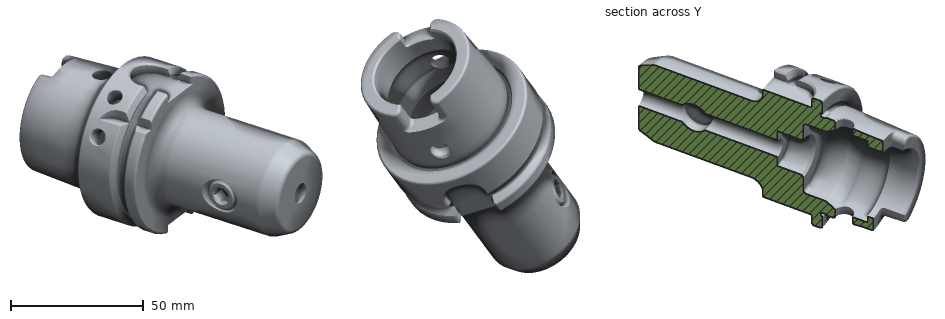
import cadquery as cq
import math

TOTAL_LENGTH = 112.0
TOLERANCE = 0.01

GAUGE_DIAMETER = 48.0
GAUGE_TO_FLANGE = 6.3
TAPER_SLOPE = 0.05
TAPER_END = 29.7
COLLAR_END = 30.5
TAPER_ROUNDING = 1.0
RELIEF_DIAMETER = 47.5
RELIEF_STEP = 0.3
FACE_GROOVE_DIAMETER = 51.1
FACE_GROOVE_DEPTH = 0.7

FLANGE_DIAMETER = 63.0
FLANGE_START = 32.0
FLANGE_END = 58.0
FLANGE_ROUNDING = 1.0
GROOVE_FLOOR_DIAMETER = 54.9
GROOVE_SHOULDER_DIAMETER = 57.6
GROOVE_START = 48.2
GROOVE_END = 51.7
GROOVE_FLANK_ANGLE = 30.0
GROOVE_CORNER = 0.6
GROOVE_RIM_CHAMFER = 0.3

SHANK_DIAMETER = 38.1
SHANK_FILLET = 5.0
NOSE_START = 105.1
NOSE_ANGLE = 25.0
NOSE_ROUNDING = 2.0

BORE_DIAMETER = 34.0
BORE_DEPTH = 40.3
BORE_MOUTH_CHAMFER = 0.7
BORE_FLOOR_ROUNDING = 1.2
CLAMP_GROOVE_DIAMETER = 40.0
CLAMP_GROOVE_START = 12.7
CLAMP_GROOVE_END = 30.8
CLAMP_FLANK_ANGLE = 30.0
POCKET_DIAMETER = 16.9
POCKET_DEPTH = 11.2
POCKET_CHAMFER = 1.0
COOLANT_DIAMETER = 8.0

NOTCH_WIDTH = 12.3
TOP_NOTCH_DEPTH = 5.8
BOTTOM_NOTCH_DEPTH = 10.0
NOTCH_FLARE = 2.6
NOTCH_FLOOR_ROUNDING = 1.3

CROSS_HOLE_DIAMETER = 7.5
CROSS_HOLE_CHAMFER_DIAMETER = 8.5
CROSS_HOLE_X = 22.7

SLOT_WIDTH = 15.9
SLOT_FLOOR = 26.5
SLOT_CENTER_X = 44.8
SLOT_CHAMFER = 0.8
RIM_EDGE_SAMPLES = (0.0, 0.3, 0.7, 1.0)

CORNER_NOTCH_OFFSET = 20.2
CORNER_NOTCH_X = 43.9
CORNER_NOTCH_RADIUS = SLOT_WIDTH / 2

RIM_HOLE_DIAMETER = 6.0
RIM_HOLE_CHAMFER_DIAMETER = 7.0
RIM_HOLE_DEPTH = 7.0
RIM_HOLE_X = 38.9
RIM_HOLE_ANGLES = (28.0, 58.4)

SCREW_X = 88.0
SCREW_DIAMETER = 12.7
SCREW_TIP_Y = 4.5
SCREW_HEAD_Y = 18.3
SCREW_FACE_DIAMETER = 10.4
SEAT_DIAMETER = 15.9
HEX_SIZE = 6.0
HEX_MOUTH_DIAMETER = 7.5
HEX_DEPTH = 5.6
HEX_TURN = 45.0
HEX_FLOOR_CONE_HEIGHT = 1.8


def revolved(points):
    """Solid turned about the X axis from (x, radius) points."""
    return cq.Workplane("XY").polyline(points).close().revolve(360, (0, 0, 0), (1, 0, 0))


def cylinder_x(x_start, x_end, diameter):
    return cq.Workplane("YZ", origin=(x_start, 0, 0)).circle(diameter / 2).extrude(x_end - x_start)


def ring_edges(body, x, radius):
    """Circular edges about the X axis at the given place."""
    def matches(edge):
        if edge.geomType() != "CIRCLE":
            return False
        center = edge.arcCenter()
        on_axis = math.hypot(center.y, center.z) < TOLERANCE
        return on_axis and abs(center.x - x) < TOLERANCE and abs(edge.radius() - radius) < TOLERANCE
    return body.newObject([edge for edge in body.edges().vals() if matches(edge)])


def taper_radius(x):
    return GAUGE_DIAMETER / 2 + TAPER_SLOPE * (x - FLANGE_START + GAUGE_TO_FLANGE)


def drive_notched(body, side, depth):
    """Cut one drive notch, flare its walls to the taper and round its floor corners."""
    half = NOTCH_WIDTH / 2
    reach = GAUGE_DIAMETER
    cutter = cq.Workplane("XY").box(2 * depth, NOTCH_WIDTH, reach).translate((0, 0, side * reach / 2))
    body = body.cut(cutter)

    def flared(edge):
        box = edge.BoundingBox()
        on_wall = abs(abs(box.ymin) - half) < TOLERANCE and box.ylen < TOLERANCE
        return on_wall and box.xlen > depth - TOLERANCE and side * edge.Center().z > half
    body = body.newObject([e for e in body.edges().vals() if flared(e)]).fillet(NOTCH_FLARE)

    def floor_corner(edge):
        box = edge.BoundingBox()
        upright = box.xlen < TOLERANCE and box.ylen < TOLERANCE and abs(box.xmin - depth) < TOLERANCE
        return upright and abs(abs(box.ymin) - half) < TOLERANCE
    return body.newObject([e for e in body.edges().vals() if floor_corner(e)]).fillet(NOTCH_FLOOR_ROUNDING)


def taper():
    body = revolved([
        (0, 0),
        (0, taper_radius(0)),
        (TAPER_END, taper_radius(TAPER_END)),
        (COLLAR_END, taper_radius(TAPER_END)),
        (COLLAR_END + RELIEF_STEP, RELIEF_DIAMETER / 2),
        (FLANGE_START + FACE_GROOVE_DEPTH, RELIEF_DIAMETER / 2),
        (FLANGE_START + FACE_GROOVE_DEPTH, 0),
    ])
    body = drive_notched(body, 1, TOP_NOTCH_DEPTH)
    body = drive_notched(body, -1, BOTTOM_NOTCH_DEPTH)
    return body.faces("<X").edges().fillet(TAPER_ROUNDING)


def face_groove():
    """Shallow recess with a sloped wall in the flange face around the taper."""
    mouth = FACE_GROOVE_DIAMETER / 2
    floor_x = FLANGE_START + FACE_GROOVE_DEPTH
    return revolved([
        (FLANGE_START, 0),
        (FLANGE_START, mouth),
        (floor_x, mouth - FACE_GROOVE_DEPTH),
        (floor_x, 0),
    ])


def flange_and_tool_shank():
    """Flange blank and tool shank, with their rounded edges."""
    rim = FLANGE_DIAMETER / 2
    shank = SHANK_DIAMETER / 2
    nose_radius = shank - (TOTAL_LENGTH - NOSE_START) * math.tan(math.radians(NOSE_ANGLE))
    body = revolved([
        (FLANGE_START, 0),
        (FLANGE_START, rim),
        (FLANGE_END, rim),
        (FLANGE_END, shank),
        (NOSE_START, shank),
        (TOTAL_LENGTH, nose_radius),
        (TOTAL_LENGTH, 0),
    ])
    for x in (FLANGE_START, FLANGE_END):
        body = ring_edges(body, x, rim).fillet(FLANGE_ROUNDING)
    body = ring_edges(body, FLANGE_END, shank).fillet(SHANK_FILLET)
    body = ring_edges(body, NOSE_START, shank).fillet(NOSE_ROUNDING)
    return ring_edges(body, TOTAL_LENGTH, nose_radius).fillet(NOSE_ROUNDING)


def drive_slotted(body, side):
    """Cut one round-ended drive slot and chamfer its edge on the rim."""
    half = SLOT_WIDTH / 2
    outline = cq.Workplane("XY", origin=(SLOT_CENTER_X, 0, side * SLOT_FLOOR))
    outline = outline.moveTo(TOTAL_LENGTH, half).lineTo(0, half).threePointArc((-half, 0), (0, -half))
    cutter = outline.lineTo(TOTAL_LENGTH, -half).close().extrude(side * FLANGE_DIAMETER)
    body = body.cut(cutter)

    def on_rim(edge):
        points = edge.positions(RIM_EDGE_SAMPLES)
        outside = all(abs(math.hypot(p.y, p.z) - FLANGE_DIAMETER / 2) < TOLERANCE for p in points)
        inside_slot = all(abs(p.y) < half + TOLERANCE and side * p.z > 0 for p in points)
        return outside and inside_slot
    rim_edges = [edge for edge in body.edges().vals() if on_rim(edge)]
    return body.newObject(rim_edges).chamfer(SLOT_CHAMFER)


def gripper_groove():
    """Ring that cuts the V-flanked groove round the flange."""
    floor = GROOVE_FLOOR_DIAMETER / 2
    shoulder = GROOVE_SHOULDER_DIAMETER / 2
    rim = FLANGE_DIAMETER / 2
    slope = math.tan(math.radians(GROOVE_FLANK_ANGLE))
    flank_radius = rim - GROOVE_RIM_CHAMFER
    flank = (flank_radius - shoulder) * slope
    mouth = (rim - shoulder) * slope + GROOVE_RIM_CHAMFER
    return revolved([
        (GROOVE_START + GROOVE_CORNER, floor),
        (GROOVE_END, floor),
        (GROOVE_END, shoulder),
        (GROOVE_END + flank, flank_radius),
        (GROOVE_END + mouth, rim),
        (GROOVE_START - mouth, rim),
        (GROOVE_START - flank, flank_radius),
        (GROOVE_START, shoulder),
        (GROOVE_START, floor + GROOVE_CORNER),
    ])


def orientation_notch():
    """Right-angled corner cut, open at the flange end and closed by a round wall."""
    height = FLANGE_DIAMETER
    past_flange = 1.1
    base = cq.Workplane("XY", origin=(CORNER_NOTCH_X, -CORNER_NOTCH_OFFSET, CORNER_NOTCH_OFFSET))
    length = FLANGE_END - CORNER_NOTCH_X + past_flange
    run = base.rect(length, -height, centered=False).extrude(height)
    end = base.center(0, -CORNER_NOTCH_RADIUS).circle(CORNER_NOTCH_RADIUS).extrude(height)
    return run.union(end)


def chamfered_hole(plane, depth, diameter, chamfer_diameter, mouth):
    """Drill inward from height `mouth` above the plane, with a 45 degree chamfer at that height."""
    drill = cq.Workplane(plane).workplane(offset=mouth).circle(diameter / 2).extrude(-depth)
    chamfer = (chamfer_diameter - diameter) / 2
    overshoot = chamfer
    cone = cq.Workplane(plane).workplane(offset=mouth - chamfer).circle(diameter / 2)
    cone = cone.workplane(offset=chamfer + overshoot).circle(chamfer_diameter / 2 + overshoot)
    return drill.union(cone.loft(ruled=True))


def rim_hole(angle):
    direction = (0, -math.cos(math.radians(angle)), math.sin(math.radians(angle)))
    plane = cq.Plane(origin=(RIM_HOLE_X, 0, 0), xDir=(1, 0, 0), normal=direction)
    return chamfered_hole(
        plane, RIM_HOLE_DEPTH, RIM_HOLE_DIAMETER, RIM_HOLE_CHAMFER_DIAMETER, FLANGE_DIAMETER / 2)


def cross_hole(side):
    plane = cq.Plane(origin=(CROSS_HOLE_X, 0, 0), xDir=(1, 0, 0), normal=(0, 0, side))
    mouth = taper_radius(CROSS_HOLE_X)
    return chamfered_hole(plane, mouth, CROSS_HOLE_DIAMETER, CROSS_HOLE_CHAMFER_DIAMETER, mouth)


def bore_mouth():
    """Cone that chamfers the open end of the bore."""
    bore = BORE_DIAMETER / 2
    return revolved([
        (0, 0),
        (0, bore + BORE_MOUTH_CHAMFER),
        (BORE_MOUTH_CHAMFER, bore),
        (BORE_MOUTH_CHAMFER, 0),
    ])


def clamp_groove():
    """Undercut in the bore with a square front wall and a sloped rear wall."""
    bore = BORE_DIAMETER / 2
    groove = CLAMP_GROOVE_DIAMETER / 2
    flank = (groove - bore) / math.tan(math.radians(CLAMP_FLANK_ANGLE))
    return revolved([
        (CLAMP_GROOVE_START, 0),
        (CLAMP_GROOVE_START, groove),
        (CLAMP_GROOVE_END - flank, groove),
        (CLAMP_GROOVE_END, bore),
        (CLAMP_GROOVE_END, 0),
    ])


def screw_hole():
    """Hole right through the tool shank, countersunk on the -Y side."""
    plane = cq.Plane(origin=(SCREW_X, 0, 0), xDir=(1, 0, 0), normal=(0, -1, 0))
    return chamfered_hole(
        plane, SHANK_DIAMETER, SCREW_DIAMETER, SEAT_DIAMETER, SHANK_DIAMETER / 2)


def holder():
    body = flange_and_tool_shank()
    for side in (1, -1):
        body = drive_slotted(body, side)
    body = body.cut(gripper_groove()).cut(orientation_notch())
    for angle in RIM_HOLE_ANGLES:
        body = body.cut(rim_hole(angle))
    body = body.cut(face_groove()).union(taper())

    bore = cylinder_x(0, BORE_DEPTH, BORE_DIAMETER).faces(">X").edges().fillet(BORE_FLOOR_ROUNDING)
    body = body.cut(bore)
    body = body.cut(bore_mouth()).cut(clamp_groove())
    for side in (1, -1):
        body = body.cut(cross_hole(side))
    body = body.cut(cylinder_x(BORE_DEPTH, BORE_DEPTH + POCKET_DEPTH, POCKET_DIAMETER))
    body = ring_edges(body, BORE_DEPTH, POCKET_DIAMETER / 2).chamfer(POCKET_CHAMFER)
    body = body.cut(cylinder_x(BORE_DEPTH, TOTAL_LENGTH, COOLANT_DIAMETER))
    return body.cut(screw_hole())


def clamping_screw():
    """Screw with a hexagon socket whose floor rises to a central cone."""
    tip = cq.Workplane("XZ", origin=(SCREW_X, -SCREW_TIP_Y, 0))
    body = tip.circle(SCREW_DIAMETER / 2).extrude(SCREW_HEAD_Y - SCREW_TIP_Y)
    body = body.faces("<Y").edges().chamfer((SCREW_DIAMETER - SCREW_FACE_DIAMETER) / 2)
    face = cq.Workplane("XZ", origin=(SCREW_X, -SCREW_HEAD_Y, 0))
    hexagon = face.transformed(rotate=(0, 0, HEX_TURN)).polygon(6, HEX_SIZE, circumscribed=True)
    body = body.cut(hexagon.extrude(-HEX_DEPTH))
    inward = cq.Vector(0, 1, 0)
    mouth_radius = HEX_MOUTH_DIAMETER / 2
    mouth = cq.Solid.makeCone(mouth_radius, 0, mouth_radius, cq.Vector(SCREW_X, -SCREW_HEAD_Y, 0), inward)
    body = body.cut(cq.Workplane(mouth))
    floor_center = cq.Vector(SCREW_X, HEX_DEPTH - SCREW_HEAD_Y, 0)
    floor_cone = cq.Solid.makeCone(HEX_SIZE / 2, 0, HEX_FLOOR_CONE_HEIGHT, floor_center, -inward)
    return body.union(cq.Workplane(floor_cone))


result = cq.Compound.makeCompound([holder().val(), clamping_screw().val()])